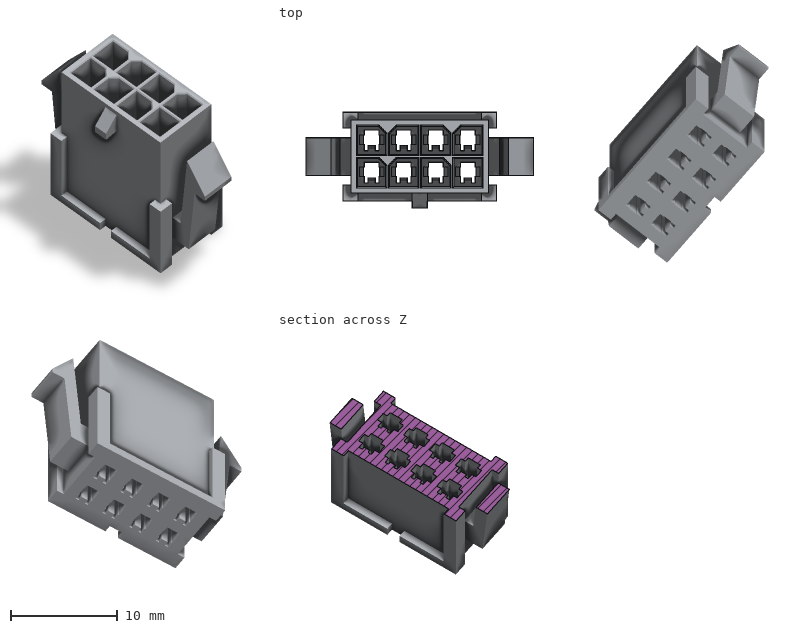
import cadquery as cq
import math

body_x = 12.92
body_y = 6.85
height = 16.9

rail_height = 8.5
rail_out = 0.75
rail_width = 1.43
rail_depth = 1.52
foot_height = 0.96
flange_x = body_x + 2 * rail_out
flange_y = body_y + 2 * rail_out

wedge_width = 1.43
wedge_out = 1.4
wedge_top = height - 0.5
wedge_knee = height - 2.03
wedge_tip = height - 2.85
wedge_root = height - 2.73

arm_width = 3.57
arm_reach = 10.68
arm_foot_bottom = 2.5
arm_foot_top = 5.27
arm_inner_foot_x = 7.5
arm_outer_foot_x = 8.56
arm_peak_x = 8.35
arm_peak_z = 14.52
barb_shoulder_z = 11.34
barb_bottom_z = 10.78
barb_root_x = 9.33

pitch = 3.0
mouth_size = 2.86
lead_in = 0.1
lead_in_depth = 0.1
cell_size = mouth_size - 2 * lead_in
mouth_cut = 0.75
cell_cut = mouth_cut - lead_in * (2 - math.sqrt(2))
floor_z = rail_height
keys_by_row = {-1: (1, -1, 1, 0), 1: (1, -1, 1, -1)}

passage_x = 1.37
passage_y = 1.92
slot_x = 1.5
slot_y = 0.88
slot_shift = 0.06
recess_x = 2.3
recess_depth = 2.14
tang_width = 0.68
tang_tip_y = 0.47
tang_ledge_y = 0.28
tang_rise = 0.65


def block(size_x, size_y, z_low, z_high, x=0.0, y=0.0):
    """Upright box centred on (x, y) between two heights."""
    return cq.Workplane("XY", origin=(x, y, z_low)).rect(size_x, size_y).extrude(z_high - z_low)


def make_shell():
    shell = block(body_x, body_y, 0, height)
    for side_x in (-1, 1):
        for side_y in (-1, 1):
            x = side_x * (flange_x - rail_width) / 2
            y = side_y * (flange_y - rail_depth) / 2
            shell = shell.union(block(rail_width, rail_depth, 0, rail_height, x, y))
    foot_y = (body_y + rail_out) / 2
    front_foot = block(body_x, rail_out, 0, foot_height, y=-foot_y)
    front_foot = front_foot.cut(block(wedge_width, rail_out, 0, foot_height, y=-foot_y))
    back_foot = block(body_x, rail_out, 0, foot_height, y=foot_y)
    return shell.union(front_foot).union(back_foot)


def make_wedge():
    face_y = -body_y / 2
    tip_y = face_y - wedge_out
    profile = [(0, wedge_top), (face_y, wedge_top), (tip_y, wedge_knee), (tip_y, wedge_tip),
               (face_y, wedge_root), (0, wedge_root)]
    return cq.Workplane("YZ").polyline(profile).close().extrude(wedge_width / 2, both=True)


def make_arm():
    """Barbed arm on the +X side."""
    profile = [
        (body_x / 2, arm_foot_bottom),
        (arm_outer_foot_x, arm_foot_bottom),
        (barb_root_x, barb_bottom_z),
        (arm_reach, barb_bottom_z),
        (arm_reach, barb_shoulder_z),
        (arm_peak_x, arm_peak_z),
        (arm_inner_foot_x, arm_foot_top),
        (body_x / 2, arm_foot_top),
    ]
    return cq.Workplane("XZ").polyline(profile).close().extrude(arm_width / 2, both=True)


def cell_outline(size, cut, key, z):
    """Square cell outline with its +Y corner on the key side cut off."""
    half = size / 2
    if key == 0:
        upper_edge = [(half, half), (-half, half)]
    else:
        upper_edge = [(half, half - cut), (half - cut, half), (-half, half)]
    points = [(-half, -half), (half, -half)] + upper_edge
    if key < 0:
        points = [(-x, y) for x, y in points]
    return cq.Workplane("XY", origin=(0, 0, z)).polyline(points).close()


def make_cell(key):
    """Everything removed for one contact, centred on the Z axis."""
    cell = cell_outline(cell_size, cell_cut, key, floor_z).extrude(height - floor_z)
    lower = cell_outline(cell_size, cell_cut, key, height - lead_in_depth).wires().vals()[0]
    upper = cell_outline(mouth_size, mouth_cut, key, height).wires().vals()[0]
    cell = cell.union(cq.Workplane(cq.Solid.makeLoft([lower, upper], True)))

    passage = block(passage_x, passage_y, 0, floor_z)
    passage = passage.union(block(slot_x, slot_y, 0, floor_z, y=slot_shift))
    passage = passage.union(block(recess_x, slot_y, floor_z - recess_depth, floor_z, y=slot_shift))

    root_y = -passage_y / 2
    tang_profile = [(root_y, 0), (root_y + tang_tip_y, 0),
                    (root_y + tang_tip_y, floor_z - tang_rise),
                    (root_y + tang_ledge_y, floor_z), (root_y, floor_z)]
    tang = cq.Workplane("YZ").polyline(tang_profile).close().extrude(tang_width / 2, both=True)
    return cell.union(passage.cut(tang))


arm = make_arm()
result = make_shell().union(make_wedge()).union(arm).union(arm.mirror("YZ"))
for row, keys in keys_by_row.items():
    for column, key in enumerate(keys):
        x = (column - (len(keys) - 1) / 2) * pitch
        result = result.cut(make_cell(key).translate((x, row * pitch / 2, 0)))